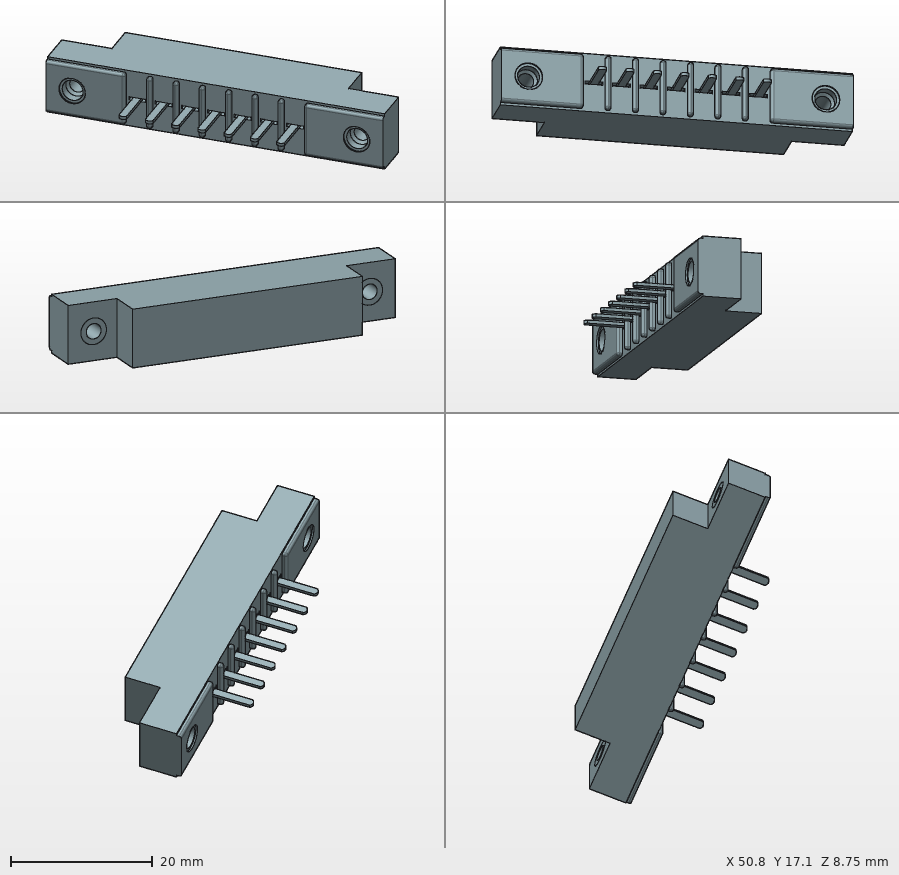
import cadquery as cq


length = 50.75
height = 8.75
rear_y = 10.95
ear_rear_y = 5.65
middle_width = 35.65

raise_depth = 0.75
raise_height = 8.0
edge_radius = 0.38
pad_inner_x = 13.5
rib_crest = 0.05
rib_width = 2 * edge_radius + rib_crest

pin_count = 7
pin_pitch = 3.95
pin_width = 1.15
pin_thickness = 0.45
pin_reach = 6.15
tip_length = 0.35
slot_width = 2.55
slot_depth = 1.0

eyelet_spacing = 42.85
eyelet_diameter = 3.95
eyelet_recess = 0.25
mouth_diameter = 3.15
mouth_depth = 1.4
bore_diameter = 2.3
cone_depth = (mouth_diameter - bore_diameter) / 2

front_y = -raise_depth
pin_xs = [(i - (pin_count - 1) / 2) * pin_pitch for i in range(pin_count)]
rib_xs = [x + pin_pitch / 2 for x in pin_xs[:-1]]
eyelet_xs = [-eyelet_spacing / 2, eyelet_spacing / 2]


def box(x_min, x_max, y_min, y_max, z_size):
    """Box between the given X and Y limits, centred on Z."""
    size = (x_max - x_min, y_max - y_min, z_size)
    center = ((x_min + x_max) / 2, (y_min + y_max) / 2, 0)
    return cq.Workplane("XY").box(*size).translate(center)


def rod(x, diameter, y_min, y_max):
    """Cylinder along Y through the given X at mid height."""
    start = cq.Vector(x, y_min, 0)
    return cq.Workplane(cq.Solid.makeCylinder(diameter / 2, y_max - y_min, start, cq.Vector(0, 1, 0)))


def make_pad():
    """Pad in front of the right-hand ear, rounded on every free edge."""
    pad = box(pad_inner_x, length / 2, front_y, 0, raise_height)
    return pad.edges("(<Y or (|Y and <X)) and (not >X)").fillet(edge_radius)


def make_rib(x):
    """Upright rib, rounded all over down to a narrow flat along its crest."""
    rib = box(x - rib_width / 2, x + rib_width / 2, front_y, 0, raise_height)
    return rib.edges("|Y or <Y").fillet(edge_radius)


def make_housing():
    ears = box(-length / 2, length / 2, 0, ear_rear_y, height)
    middle = box(-middle_width / 2, middle_width / 2, 0, rear_y, height)
    body = ears.union(middle)
    pad = make_pad()
    body = body.union(pad).union(pad.mirror("YZ"))
    for x in rib_xs:
        body = body.union(make_rib(x))
    for x in eyelet_xs:
        body = body.cut(rod(x, eyelet_diameter, front_y, ear_rear_y))
    for x in pin_xs:
        body = body.cut(box(x - slot_width / 2, x + slot_width / 2, 0, slot_depth, pin_thickness))
    return body


def make_pin(x):
    """Flat pin with a rounded tip, standing on the floor of its slot."""
    half_width = pin_width / 2
    tip_start_y = tip_length - pin_reach
    outline = (
        cq.Workplane("XY", origin=(0, 0, -pin_thickness / 2))
        .moveTo(x - half_width, slot_depth)
        .lineTo(x - half_width, tip_start_y)
        .threePointArc((x, -pin_reach), (x + half_width, tip_start_y))
        .lineTo(x + half_width, slot_depth)
        .close()
    )
    return outline.extrude(pin_thickness)


def make_eyelet(x):
    """Tube sunk a little below the pad face, with a wide mouth that narrows by a cone to the bore."""
    start_y = front_y + eyelet_recess
    cone_y = start_y + mouth_depth
    cone = cq.Solid.makeCone(
        mouth_diameter / 2, bore_diameter / 2, cone_depth, cq.Vector(x, cone_y, 0), cq.Vector(0, 1, 0)
    )
    return (
        rod(x, eyelet_diameter, start_y, ear_rear_y)
        .cut(rod(x, mouth_diameter, start_y, cone_y))
        .cut(cq.Workplane(cone))
        .cut(rod(x, bore_diameter, cone_y, ear_rear_y))
    )


housing = make_housing()
pins = [make_pin(x) for x in pin_xs]
eyelets = [make_eyelet(x) for x in eyelet_xs]
bodies = [housing, *pins, *eyelets]

result = cq.Compound.makeCompound([body.solids().val() for body in bodies])